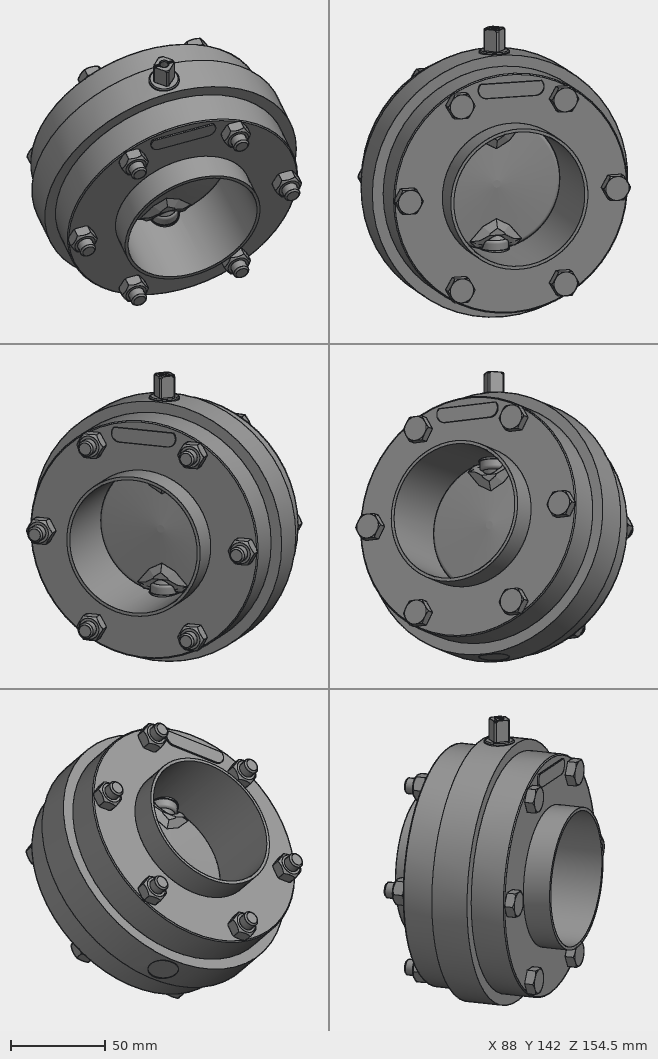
import cadquery as cq
import math


ring_diameter = 142.0
ring_width = 20.1

overall_length = 88.0
flange_diameter = 130.0
flange_thickness = 19.0
flange_chamfer = 0.6
neck_diameter = 76.2
bore_diameter = 72.8
flange_face_x = ring_width / 2 + flange_thickness

pad_height = 1.0
pad_end_radius = 4.6
pad_end_y = 13.6
pad_center_z = 57.0
pad_trimmed_width = 7.9

bolt_count = 6
bolt_circle_radius = 57.6
shank_diameter = 8.5
hex_across_flats = 13.0
hex_across_corners = hex_across_flats / math.cos(math.radians(30))
head_height = 5.3
nut_height = 6.6
head_chamfer_diameter = 13.0
head_chamfer_angle = 30
nut_base_diameter = 14.0
nut_end_diameter = 11.5
nut_chamfer_angle = 40
thread_end_x = 41.3
thread_end_diameter = 6.6
thread_chamfer_length = 1.0

disc_diameter = 72.3
disc_face_diameter = 67.7
disc_rim_half_width = 2.3
disc_center_half_width = 5.0
disc_center_flat_diameter = 4.2

hub_diameter = 15.0
hub_end_z = 35.4
hub_inner_z = 30.1
hub_edge_radius = 1.9
neck_tip_z = 19.8
neck_tip_radius = 3.4
neck_waist_z = 26.3
neck_waist_radius = 4.8
neck_top_radius = 7.1
flare_tip_z = 15.8
flare_half_width = 14.4
flare_wide_z = 30.9
flare_shoulder_y = 8.7
flare_shoulder_z = 21.6
flare_top_y = 10.8
flare_top_z = 34.1
flare_height = 3.1
flare_taper = 65

journal_diameter = 16.0
journal_hole_diameter = 16.2
overall_height = 154.5
stem_top_z = overall_height - ring_diameter / 2
collar_top_z = 71.8
collar_chamfer = 0.6
lower_journal_end_z = -70.5
square_across_flats = 9.0
square_corner_diameter = 11.5
square_chamfer_radial = 0.5
square_chamfer_axial = 1.0
stem_hole_diameter = 4.2
stem_hole_mouth_diameter = 5.3
stem_hole_depth = 9.3
drill_point_angle = 118
slot_width = 1.4
slot_depth = 0.8


def cylinder_x(diameter, x_start, x_end):
    return cq.Workplane("YZ").workplane(offset=x_start).circle(diameter / 2).extrude(x_end - x_start)


def cylinder_z(diameter, z_start, z_end):
    return cq.Workplane("XY").workplane(offset=z_start).circle(diameter / 2).extrude(z_end - z_start)


def bolt_places():
    angles = [math.radians(360 / bolt_count * index) for index in range(bolt_count)]
    return [(bolt_circle_radius * math.cos(a), bolt_circle_radius * math.sin(a)) for a in angles]


def make_bolt_holes():
    return (
        cq.Workplane("YZ")
        .pushPoints(bolt_places())
        .circle(shank_diameter / 2)
        .extrude(overall_length / 2, both=True)
    )


def make_journal_hole():
    return cylinder_z(journal_hole_diameter, -ring_diameter / 2, ring_diameter / 2)


def make_ring():
    ring = cylinder_x(ring_diameter, -ring_width / 2, ring_width / 2)
    ring = ring.cut(cylinder_x(neck_diameter, -ring_width / 2, ring_width / 2))
    return ring.cut(make_journal_hole()).cut(make_bolt_holes())


def make_label_pad():
    face = cq.Workplane("YZ").workplane(offset=flange_face_x)
    pad_length = 2 * (pad_end_y + pad_end_radius)
    pad = face.center(0, pad_center_z).slot2D(pad_length, 2 * pad_end_radius).extrude(pad_height)
    trim_center_z = pad_center_z - pad_end_radius + pad_trimmed_width / 2
    trim = face.center(0, trim_center_z).rect(pad_length, pad_trimmed_width).extrude(pad_height)
    return pad.intersect(trim)


def make_flange():
    """Flange on the +X side, with a sleeve that lines the ring up to its middle."""
    flange = cylinder_x(flange_diameter, ring_width / 2, flange_face_x)
    flange = flange.faces(">X").edges().chamfer(flange_chamfer)
    flange = flange.union(cylinder_x(neck_diameter, 0, overall_length / 2))
    flange = flange.union(make_label_pad())
    flange = flange.cut(cylinder_x(bore_diameter, 0, overall_length / 2))
    return flange.cut(make_bolt_holes()).cut(make_journal_hole())


def hex_blank(height):
    return cq.Workplane("YZ").polygon(6, hex_across_corners).extrude(height)


def turned_envelope(height, end_diameter, chamfer_angle):
    """Round body from x = 0 to height, its far end turned down to a cone."""
    corner_radius = hex_across_corners / 2
    end_radius = end_diameter / 2
    chamfer_length = (corner_radius - end_radius) * math.tan(math.radians(chamfer_angle))
    profile = [
        (0, 0),
        (0, corner_radius),
        (height - chamfer_length, corner_radius),
        (height, end_radius),
        (height, 0),
    ]
    return cq.Workplane("XY").polyline(profile).close().revolve(360, (0, 0, 0), (1, 0, 0))


def make_head():
    """Bolt head from x = 0 to its height."""
    return hex_blank(head_height).intersect(
        turned_envelope(head_height, head_chamfer_diameter, head_chamfer_angle)
    )


def make_nut():
    """Nut from x = 0 to its height, chamfered at both ends."""
    end_envelope = turned_envelope(nut_height, nut_end_diameter, nut_chamfer_angle)
    base_envelope = turned_envelope(nut_height, nut_base_diameter, nut_chamfer_angle)
    base_envelope = base_envelope.mirror("YZ").translate((nut_height, 0, 0))
    return hex_blank(nut_height).intersect(end_envelope).intersect(base_envelope)


def make_bolt():
    """Hex bolt and its nut as one body, on the X axis."""
    head = make_head().mirror("YZ").translate((-flange_face_x, 0, 0))
    nut = make_nut().translate((flange_face_x, 0, 0))
    shank_radius = shank_diameter / 2
    shank_profile = [
        (-flange_face_x, 0),
        (-flange_face_x, shank_radius),
        (thread_end_x - thread_chamfer_length, shank_radius),
        (thread_end_x, thread_end_diameter / 2),
        (thread_end_x, 0),
    ]
    shank = cq.Workplane("XY").polyline(shank_profile).close().revolve(360, (0, 0, 0), (1, 0, 0))
    return shank.union(head).union(nut)


def make_disc_plate():
    face_radius = disc_face_diameter / 2
    flat_radius = disc_center_flat_diameter / 2
    half_profile = (
        cq.Workplane("XY")
        .moveTo(-disc_center_half_width, 0)
        .lineTo(-disc_center_half_width, flat_radius)
        .lineTo(-disc_rim_half_width, face_radius)
        .threePointArc((0, disc_diameter / 2), (disc_rim_half_width, face_radius))
        .lineTo(disc_center_half_width, flat_radius)
        .lineTo(disc_center_half_width, 0)
        .close()
    )
    return half_profile.revolve(360, (0, 0, 0), (1, 0, 0))


def make_flare():
    """Pointed pad with sloping sides on the +X face of the disc."""
    outline = [
        (0, flare_tip_z),
        (flare_shoulder_y, flare_shoulder_z),
        (flare_half_width, flare_wide_z),
        (flare_top_y, flare_top_z),
        (-flare_top_y, flare_top_z),
        (-flare_half_width, flare_wide_z),
        (-flare_shoulder_y, flare_shoulder_z),
    ]
    flare = cq.Workplane("YZ").workplane(offset=disc_rim_half_width).polyline(outline).close()
    return flare.extrude(flare_height, taper=flare_taper)


def make_upper_hub():
    barrel = cylinder_z(hub_diameter, hub_inner_z, hub_end_z)
    barrel = barrel.faces("<Z").edges().fillet(hub_edge_radius)
    neck_top_z = hub_inner_z + hub_edge_radius
    neck_profile = (
        cq.Workplane("XZ")
        .moveTo(0, neck_tip_z)
        .lineTo(neck_tip_radius, neck_tip_z)
        .threePointArc((neck_waist_radius, neck_waist_z), (neck_top_radius, neck_top_z))
        .lineTo(0, neck_top_z)
        .close()
    )
    neck = neck_profile.revolve(360, (0, 0, 0), (0, 1, 0))
    flare = make_flare()
    return barrel.union(neck).union(flare).union(flare.mirror("YZ"))


def make_stem_square():
    height = stem_top_z - collar_top_z
    square = (
        cq.Workplane("XY")
        .workplane(offset=collar_top_z)
        .transformed(rotate=(0, 0, 45))
        .rect(square_across_flats, square_across_flats)
        .extrude(height)
    )
    corner_radius = square_corner_diameter / 2
    turned = [
        (0, collar_top_z),
        (corner_radius, collar_top_z),
        (corner_radius, stem_top_z - square_chamfer_axial),
        (corner_radius - square_chamfer_radial, stem_top_z),
        (0, stem_top_z),
    ]
    square = square.intersect(cq.Workplane("XZ").polyline(turned).close().revolve(360, (0, 0, 0), (0, 1, 0)))
    slot = cq.Workplane("XY").box(slot_width, square_corner_diameter, 2 * slot_depth)
    return square.cut(slot.translate((0, 0, stem_top_z)))


def make_stem_hole():
    radius = stem_hole_diameter / 2
    mouth_radius = stem_hole_mouth_diameter / 2
    bottom_z = stem_top_z - stem_hole_depth
    point_length = radius / math.tan(math.radians(drill_point_angle / 2))
    profile = [
        (0, stem_top_z),
        (mouth_radius, stem_top_z),
        (radius, stem_top_z - (mouth_radius - radius)),
        (radius, bottom_z),
        (0, bottom_z - point_length),
    ]
    return cq.Workplane("XZ").polyline(profile).close().revolve(360, (0, 0, 0), (0, 1, 0))


def make_disc():
    """Disc with its hubs, both journals and the square stem end."""
    upper_hub = make_upper_hub()
    disc = make_disc_plate().union(upper_hub).union(upper_hub.mirror("XY"))
    upper_journal = cylinder_z(journal_diameter, hub_end_z, collar_top_z)
    upper_journal = upper_journal.faces(">Z").edges().chamfer(collar_chamfer)
    lower_journal = cylinder_z(journal_diameter, lower_journal_end_z, -hub_end_z)
    disc = disc.union(upper_journal).union(lower_journal)
    return disc.union(make_stem_square()).cut(make_stem_hole())


ring = make_ring()
outlet_flange = make_flange()
inlet_flange = outlet_flange.mirror("YZ")
disc = make_disc()
bolts = [make_bolt().translate((0, y, z)) for y, z in bolt_places()]

result = cq.Compound.makeCompound(
    [ring.val(), inlet_flange.val(), outlet_flange.val(), disc.val(), *[bolt.val() for bolt in bolts]]
)